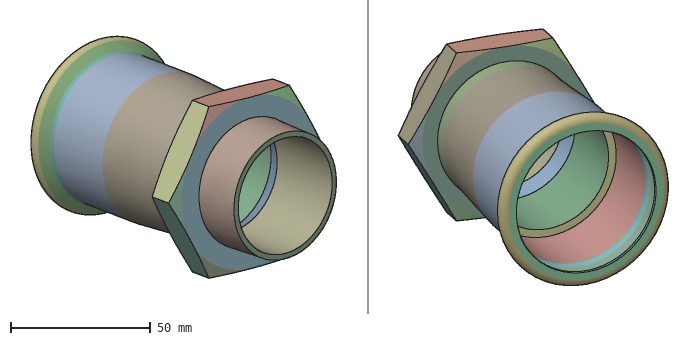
import cadquery as cq
import math

length = 105.0
socket_depth = 36.9
taper_end = 67.9
nut_start = 74.1
nut_end = 86.1

rim_diameter = 66.0
body_diameter = 57.0
neck_diameter = 53.4
thread_root_diameter = 49.0
thread_tip_diameter = 47.9

hex_corner_diameter = 75.1
hex_chamfer_length = 1.4
hex_face_diameter = hex_corner_diameter * math.cos(math.pi / 6)

socket_bore = 54.4
shoulder_bore = 48.4
through_bore = 43.8

rim_roll_radius = 3.0
rim_root_radius = 2.1
rim_flank_end = 8.0
rim_wall = 1.3
groove_root_radius = rim_root_radius + rim_wall

DIAGONAL = math.sqrt(0.5)


def revolve_about_x(profile):
    return profile.close().revolve(360, (0, 0, 0), (1, 0, 0))


def arc_point(center, radius, degrees):
    angle = math.radians(degrees)
    return center[0] + radius * math.cos(angle), center[1] + radius * math.sin(angle)


body_radius = body_diameter / 2
roll_center = (rim_roll_radius, rim_diameter / 2 - rim_roll_radius)
root_start_radius = body_radius + rim_root_radius * (1 - DIAGONAL)
root_center = (rim_flank_end + rim_root_radius * DIAGONAL, body_radius + rim_root_radius)


def make_outer_body():
    profile = (
        cq.Workplane("XY")
        .lineTo(0, roll_center[1])
        .threePointArc(arc_point(roll_center, rim_roll_radius, 112.5),
                       arc_point(roll_center, rim_roll_radius, 45))
        .lineTo(rim_flank_end, root_start_radius)
        .threePointArc(arc_point(root_center, rim_root_radius, 247.5), (root_center[0], body_radius))
        .lineTo(socket_depth, body_radius)
        .lineTo(taper_end, neck_diameter / 2)
        .lineTo(nut_end, neck_diameter / 2)
        .lineTo(nut_end, thread_root_diameter / 2)
        .lineTo(length, thread_tip_diameter / 2)
        .lineTo(length, 0)
    )
    return revolve_about_x(profile)


def make_hexagon():
    prism = (
        cq.Workplane("YZ")
        .workplane(offset=nut_start)
        .polygon(6, hex_corner_diameter)
        .extrude(nut_end - nut_start)
    )
    face_radius = hex_face_diameter / 2
    corner_radius = hex_corner_diameter / 2
    chamfer_envelope = revolve_about_x(
        cq.Workplane("XY")
        .moveTo(nut_start, 0)
        .lineTo(nut_start, face_radius)
        .lineTo(nut_start + hex_chamfer_length, corner_radius)
        .lineTo(nut_end - hex_chamfer_length, corner_radius)
        .lineTo(nut_end, face_radius)
        .lineTo(nut_end, 0)
    )
    return prism.intersect(chamfer_envelope)


def make_bore():
    profile = (
        cq.Workplane("XY")
        .lineTo(0, socket_bore / 2)
        .lineTo(socket_depth, socket_bore / 2)
        .lineTo(socket_depth, shoulder_bore / 2)
        .lineTo(taper_end, shoulder_bore / 2)
        .lineTo(nut_start, through_bore / 2)
        .lineTo(length, through_bore / 2)
        .lineTo(length, 0)
    )
    return revolve_about_x(profile)


def make_seal_groove():
    socket_radius = socket_bore / 2
    inner_roll_radius = rim_roll_radius - rim_wall
    flank_start = arc_point(roll_center, inner_roll_radius, 45)
    corner_x = flank_start[0] + flank_start[1] - socket_radius
    blend_end = corner_x + groove_root_radius * math.tan(math.pi / 8)
    blend_center = (blend_end, socket_radius + groove_root_radius)
    profile = (
        cq.Workplane("XY")
        .moveTo(rim_wall, 0)
        .lineTo(rim_wall, roll_center[1])
        .threePointArc(arc_point(roll_center, inner_roll_radius, 112.5), flank_start)
        .lineTo(*arc_point(blend_center, groove_root_radius, 225))
        .threePointArc(arc_point(blend_center, groove_root_radius, 247.5), (blend_end, socket_radius))
        .lineTo(blend_end, 0)
    )
    return revolve_about_x(profile)


result = make_outer_body().union(make_hexagon()).cut(make_bore()).cut(make_seal_groove())